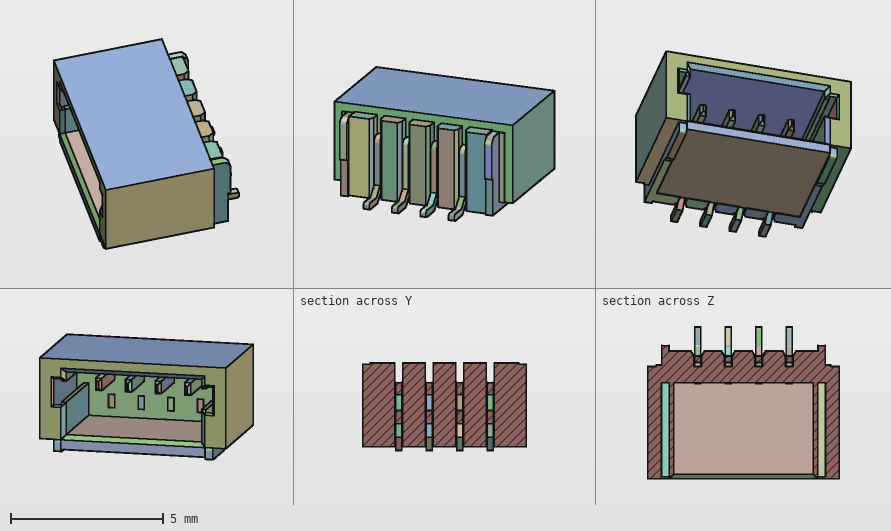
import cadquery as cq
import math


width = 6.31
height = 3.14
shell_depth = 3.7
shell_bottom = 0.42
belly_bottom = 0.095
belly_half_width = 2.44
rim_half_width = 2.87
rim_depth = 0.05
rim_top = 2.845
block_top = 2.885
block_back = 4.2

cavity_depth = 3.155
mouth_bevel = 0.15
cavity_half_width = belly_half_width - mouth_bevel
cavity_floor = shell_bottom + mouth_bevel
cavity_ceiling = 2.68
keyway_bevel = 0.07
keyway_half_width = 2.69
keyway_half_height = 0.435
keyway_level = 2.02
keyway_pocket_floor = 1.26
throat_half_height = keyway_half_height + keyway_bevel - mouth_bevel

contact_count = 4
pitch = 1.005
contact_width = 0.21
pin_bottom = 1.83
pin_top = 2.245
pin_front = 1.26
pin_point_length = 0.15
pin_point_width = 0.055
pin_point_height = 0.25
barb_bottom = 0.88
barb_top = 1.325
barb_projection = 0.03
leg_front = 3.82
leg_back = 4.045
foot_thickness = 0.24
foot_end = 5.0
foot_heel = 4.26
foot_rounding = 0.095
foot_bend_radius = 0.09
shoulder_radius = 0.22

slot_half_width = 0.125
slot_mouth_half_width = 0.22
slot_flare_start = 4.03

bracket_inner = belly_half_width
bracket_outer = 2.695
bracket_top = rim_top
bracket_back = 4.4
bracket_lower_back = 4.31
bracket_bottom = 0.125
bracket_step = 1.47
bracket_corner = 0.175
bracket_top_rounding = 0.06
bracket_back_rounding = 0.19
bracket_foot_front = 0.045
bracket_foot_bevel = 0.08
bracket_foot_rounding = 0.08
bracket_toe_rounding = 0.06
bracket_foot_end = 1.585
bracket_ramp_end = 1.89


def box(x0, x1, y0, y1, z0, z1):
    """Axis-aligned block between the given limits."""
    return cq.Workplane("XY").box(x1 - x0, y1 - y0, z1 - z0, centered=False).translate((x0, y0, z0))


def round_corner(body, x, y, z, radius):
    """Round the edge along X that passes nearest to the given point."""
    corner = cq.selectors.NearestToPointSelector((x, y, z))
    return body.edges("|X").edges(corner).fillet(radius)


def bevelled_mouth(half_width, z0, z1, bevel):
    """Funnel that narrows at 45 degrees from the mating face to the given opening."""
    return (
        cq.Workplane("XZ", origin=(0, 0, (z0 + z1) / 2))
        .rect(2 * (half_width + bevel), z1 - z0 + 2 * bevel)
        .workplane(offset=-bevel)
        .rect(2 * half_width, z1 - z0)
        .loft(ruled=True)
    )


def make_housing():
    shell = box(-width / 2, width / 2, 0, shell_depth, shell_bottom, height)
    belly = box(-belly_half_width, belly_half_width, 0, shell_depth, belly_bottom, shell_bottom)
    rim = box(-rim_half_width, rim_half_width, shell_depth, shell_depth + rim_depth, shell_bottom, rim_top)
    block = box(-belly_half_width, belly_half_width, shell_depth, block_back, bracket_bottom, block_top)
    return shell.union(belly).union(rim).union(block)


def make_cavity():
    """Rectangular cavity, with side keyways reached through narrower throats."""
    throat_bottom = keyway_level - throat_half_height
    throat_top = keyway_level + throat_half_height
    keyway_bottom = keyway_level - keyway_half_height
    keyway_top = keyway_level + keyway_half_height
    cavity = box(-cavity_half_width, cavity_half_width, 0, cavity_depth, cavity_floor, cavity_ceiling)
    cavity = cavity.union(bevelled_mouth(cavity_half_width, cavity_floor, cavity_ceiling, mouth_bevel))

    throat = box(-belly_half_width, belly_half_width, 0, cavity_depth, throat_bottom, throat_top)
    throat_mouth = bevelled_mouth(belly_half_width, throat_bottom, throat_top, mouth_bevel)
    throat_limits = box(-belly_half_width, belly_half_width, 0, mouth_bevel, 0, height)
    cavity = cavity.union(throat).union(throat_mouth.intersect(throat_limits))

    keyways = box(-keyway_half_width, keyway_half_width, 0, cavity_depth, keyway_bottom, keyway_top)
    keyways = keyways.union(bevelled_mouth(keyway_half_width, keyway_bottom, keyway_top, keyway_bevel))
    keyways = keyways.union(
        box(-keyway_half_width, keyway_half_width, keyway_bevel, cavity_depth, keyway_pocket_floor, keyway_top)
    )
    between_keyways = box(-belly_half_width, belly_half_width, 0, cavity_depth, 0, height)
    return cavity.union(keyways.cut(between_keyways))


def make_slot(x):
    """Vertical slot through the rear block, flared towards the back."""
    return (
        cq.Workplane("XY")
        .moveTo(x - slot_half_width, shell_depth)
        .lineTo(x + slot_half_width, shell_depth)
        .lineTo(x + slot_half_width, slot_flare_start)
        .lineTo(x + slot_mouth_half_width, block_back)
        .lineTo(x - slot_mouth_half_width, block_back)
        .lineTo(x - slot_half_width, slot_flare_start)
        .close()
        .extrude(height)
    )


def make_contact(x):
    """Flat contact: foot, 45 degree bend, upright leg, locking barb and pointed pin."""
    bend_corner = foot_heel + foot_thickness * math.tan(math.pi / 8)
    body = (
        cq.Workplane("YZ", origin=(x - contact_width / 2, 0, 0))
        .moveTo(foot_heel, 0)
        .lineTo(foot_end, 0)
        .lineTo(foot_end, foot_thickness)
        .lineTo(bend_corner, foot_thickness)
        .lineTo(leg_back, foot_thickness + bend_corner - leg_back)
        .lineTo(leg_back, pin_top)
        .lineTo(pin_front + pin_point_length, pin_top)
        .lineTo(pin_front + pin_point_length, pin_bottom)
        .lineTo(leg_front, pin_bottom)
        .lineTo(leg_front, barb_top)
        .lineTo(cavity_depth - barb_projection, barb_top)
        .lineTo(cavity_depth - barb_projection, barb_bottom)
        .lineTo(leg_front, barb_bottom)
        .lineTo(leg_front, foot_heel - leg_front)
        .close()
        .extrude(contact_width)
    )
    body = body.edges("|X").edges(">Y").fillet(foot_rounding)
    body = round_corner(body, x, leg_back, pin_top, shoulder_radius)
    body = round_corner(body, x, bend_corner, foot_thickness, foot_bend_radius)
    point = (
        cq.Workplane("XZ", origin=(x, pin_front, (pin_bottom + pin_top) / 2))
        .rect(pin_point_width, pin_point_height)
        .workplane(offset=-pin_point_length)
        .rect(contact_width, pin_top - pin_bottom)
        .loft(ruled=True)
    )
    return body.union(point)


def make_bracket():
    """Bracket on the +X side: upright behind the shell and a long foot beneath it."""
    step = bracket_back - bracket_lower_back
    corner_start = bracket_back - bracket_corner
    corner_end = bracket_top - bracket_corner
    toe_top = shell_bottom - bracket_foot_bevel
    bracket = (
        cq.Workplane("YZ", origin=(bracket_inner, 0, 0))
        .moveTo(shell_depth, bracket_top)
        .lineTo(corner_start, bracket_top)
        .lineTo(bracket_back, corner_end)
        .lineTo(bracket_back, bracket_step)
        .radiusArc((bracket_lower_back, bracket_step - step), step)
        .lineTo(bracket_lower_back, bracket_bottom)
        .lineTo(bracket_ramp_end, bracket_bottom)
        .lineTo(bracket_foot_end, 0)
        .lineTo(bracket_foot_front, 0)
        .lineTo(bracket_foot_front, toe_top)
        .lineTo(bracket_foot_front + bracket_foot_bevel, shell_bottom)
        .lineTo(shell_depth, shell_bottom)
        .close()
        .extrude(bracket_outer - bracket_inner)
    )
    middle = (bracket_inner + bracket_outer) / 2
    bracket = round_corner(bracket, middle, corner_start, bracket_top, bracket_top_rounding)
    bracket = round_corner(bracket, middle, bracket_back, corner_end, bracket_back_rounding)
    bracket = round_corner(bracket, middle, bracket_foot_front, 0, bracket_foot_rounding)
    return round_corner(bracket, middle, bracket_foot_front, toe_top, bracket_toe_rounding)


contact_places = [(i - (contact_count - 1) / 2) * pitch for i in range(contact_count)]

result = make_housing().cut(make_cavity())
for place in contact_places:
    result = result.cut(make_slot(place))
    result = result.union(make_contact(place))

bracket = make_bracket()
result = result.union(bracket).union(bracket.mirror("YZ"))